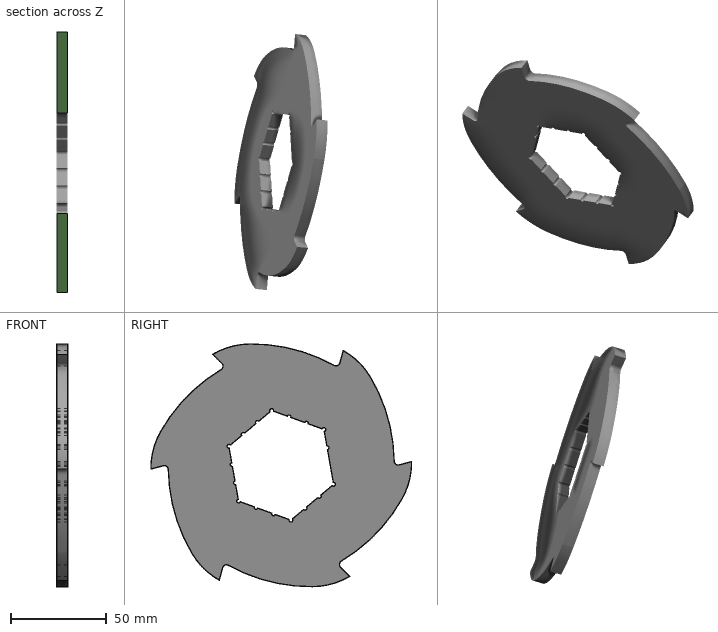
import cadquery as cq
import math

thickness = 6.0
tooth_count = 6
tooth_pitch = 360 / tooth_count

tip_radius = 68.0
tip_angle = -1.7
crest_start_radius = 65.2
crest_start_angle = 15.7
crest_bulge = 1.4
back_bulge = 3.3
undercut_length = 9.4
undercut_angle = 15.0
root_fillet = 2.0

hex_sides = 6
hex_radius = 29.0
hex_turn = 20.0
relief_radius = 1.0
spaces_per_side = 3
plain_spot = (2, 2)

disc_plane = cq.Plane(origin=(thickness / 2, 0, 0), xDir=(0, -1, 0), normal=(-1, 0, 0))


def polar(radius, degrees):
    """Point at a radius and an angle in degrees."""
    angle = math.radians(degrees)
    return cq.Vector(radius * math.cos(angle), radius * math.sin(angle))


def turned(point, degrees):
    """Point turned counter-clockwise about the disc centre."""
    return polar(point.Length, math.degrees(math.atan2(point.y, point.x)) + degrees)


def arc_middle(start, end, bulge):
    """Middle of a clockwise arc that rises by bulge from its chord."""
    chord = end - start
    outward = cq.Vector(-chord.y, chord.x).normalized()
    return (start + end) * 0.5 + outward * bulge


def make_toothed_disc():
    """Plate with the tooth outline repeated clockwise around its rim."""
    tip = polar(tip_radius, tip_angle)
    root = tip + polar(undercut_length, 180 - undercut_angle)
    crest_start = polar(crest_start_radius, crest_start_angle)
    back_start = turned(root, tooth_pitch)
    back_middle = arc_middle(back_start, crest_start, back_bulge)
    crest_middle = arc_middle(crest_start, tip, crest_bulge)

    outline = cq.Workplane(disc_plane).moveTo(back_start.x, back_start.y)
    for tooth in range(tooth_count):
        turn = -tooth * tooth_pitch
        points = [turned(point, turn) for point in (back_middle, crest_start, crest_middle, tip, root)]
        back_via, back_end, crest_via, crest_end, undercut_end = [(p.x, p.y) for p in points]
        outline = outline.threePointArc(back_via, back_end)
        outline = outline.threePointArc(crest_via, crest_end)
        outline = outline.lineTo(*undercut_end)
    disc = outline.close().extrude(thickness)

    across_edges = disc.edges("|X").vals()
    radius_limit = (root.Length + crest_start_radius) / 2
    root_edges = [edge for edge in across_edges
                  if math.hypot(edge.Center().y, edge.Center().z) < radius_limit]
    return disc.newObject(root_edges).fillet(root_fillet)


def make_bore():
    """Hexagonal prism joined with its relief cylinders."""
    corners = [polar(hex_radius, hex_turn + side * 360 / hex_sides) for side in range(hex_sides)]
    relief_centres = []
    for side, corner in enumerate(corners):
        step = (corners[(side + 1) % hex_sides] - corner) * (1 / spaces_per_side)
        for position in range(spaces_per_side):
            if (side, position) != plain_spot:
                relief_centres.append(corner + step * position)

    hexagon = cq.Workplane(disc_plane).polyline([(c.x, c.y) for c in corners]).close().extrude(thickness)
    reliefs = cq.Workplane(disc_plane).pushPoints([(c.x, c.y) for c in relief_centres])
    return hexagon.union(reliefs.circle(relief_radius).extrude(thickness))


result = make_toothed_disc().cut(make_bore())